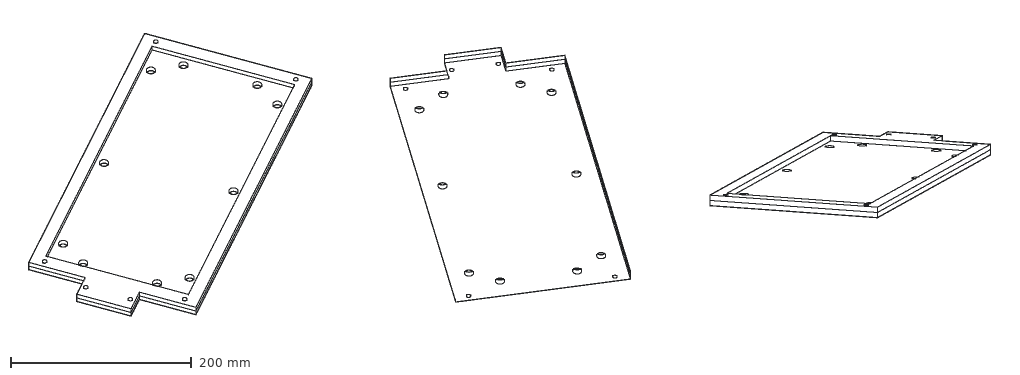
import cadquery as cq

body_width = 197.0
body_length = 370.0
overall_length = 396.83
tab_width = 64.0
tab_length = overall_length - body_length
layer_thickness = 6.0

window_width = 168.0
window_length = 339.0

screw_hole_diameter = 5.0
corner_hole_spacing_x = 165.0
corner_hole_spacing_y = 355.0
tab_hole_spacing = 52.5
tab_hole_setback = 13.5
tab_hole_y = -body_length / 2 - tab_hole_setback

mount_hole_diameter = 10.0
end_hole_spacing_x = 87.0
end_hole_spacing_y = 320.0
side_hole_spacing_x = 149.0
side_hole_spacing_y = 280.0
left_middle_hole_y = -9.5
right_middle_hole_y = 0.0


def rectangle_corners(spacing_x, spacing_y):
    """Corner points of a rectangle centred on the origin."""
    return [(x * spacing_x / 2, y * spacing_y / 2) for x in (-1, 1) for y in (-1, 1)]


def drill(layer, points, diameter):
    """Cut vertical through holes at the given XY points."""
    bottom = layer.val().BoundingBox().zmin
    sketch = cq.Workplane("XY", origin=(0, 0, bottom)).pushPoints(points).circle(diameter / 2)
    return layer.cut(sketch.extrude(layer_thickness))


def tabbed_layer(bottom):
    """One flat layer with its tab and screw holes, starting at height bottom."""
    base = cq.Workplane("XY", origin=(0, 0, bottom))
    half_body = body_width / 2
    half_tab = tab_width / 2
    back = body_length / 2
    front = -body_length / 2
    tab_end = front - tab_length
    outline = [
        (-half_body, back),
        (half_body, back),
        (half_body, front),
        (half_tab, front),
        (half_tab, tab_end),
        (-half_tab, tab_end),
        (-half_tab, front),
        (-half_body, front),
    ]
    layer = base.polyline(outline).close().extrude(layer_thickness)
    screw_points = rectangle_corners(corner_hole_spacing_x, corner_hole_spacing_y)
    screw_points += [(side * tab_hole_spacing / 2, tab_hole_y) for side in (-1, 1)]
    return drill(layer, screw_points, screw_hole_diameter)


def make_base_plate():
    """Lower layer with the ring of mounting holes."""
    mount_points = rectangle_corners(end_hole_spacing_x, end_hole_spacing_y)
    mount_points += rectangle_corners(side_hole_spacing_x, side_hole_spacing_y)
    mount_points += [
        (-side_hole_spacing_x / 2, left_middle_hole_y),
        (side_hole_spacing_x / 2, right_middle_hole_y),
    ]
    return drill(tabbed_layer(0), mount_points, mount_hole_diameter)


def make_frame():
    """Upper layer with a rectangular window cut through it."""
    window = (
        cq.Workplane("XY", origin=(0, 0, layer_thickness))
        .rect(window_width, window_length)
        .extrude(layer_thickness)
    )
    return tabbed_layer(layer_thickness).cut(window)


base_plate = make_base_plate()
frame = make_frame()

result = cq.Compound.makeCompound([base_plate.val(), frame.val()])